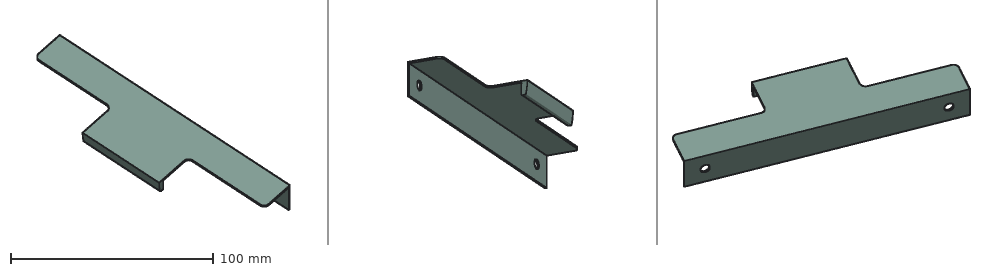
import cadquery as cq

length = 150.0
depth = 41.0
height = 18.0
sheet = 1.0

wing_depth = 19.0
tab_width = 50.0
corner_radius = 3.0

lip_height = 7.6
lip_top_width = 3.3
lip_tip_width = 2.4
lip_bulge = 0.2
lip_tip_radius = 0.8

hole_diameter = 5.0
hole_spacing = 128.0


def make_top_plate():
    """T-shaped plate with rounded wing corners and tab roots."""
    wings = cq.Workplane("XY").box(length, wing_depth, sheet, centered=(True, False, False))
    tab = cq.Workplane("XY").box(tab_width, depth, sheet, centered=(True, False, False))
    plate = wings.translate((0, -wing_depth, -sheet)).union(tab.translate((0, -depth, -sheet)))
    half_length = length / 2
    half_tab = tab_width / 2
    for x in (-half_length, -half_tab, half_tab, half_length):
        corner = cq.selectors.NearestToPointSelector((x, -wing_depth, -sheet / 2))
        plate = plate.edges("|Z").edges(corner).fillet(corner_radius)
    return plate


def make_rear_flange():
    """Vertical flange with two through holes at mid height."""
    flange = cq.Workplane("XY").box(length, sheet, height, centered=(True, False, False))
    flange = flange.translate((0, -sheet, -height))
    holes = (
        cq.Workplane("XZ", origin=(0, 0, -height / 2))
        .pushPoints([(-hole_spacing / 2, 0), (hole_spacing / 2, 0)])
        .circle(hole_diameter / 2)
        .extrude(sheet)
    )
    return flange.cut(holes)


def make_lip():
    """Lip with a flat rear, a convex front that narrows downward, and a rounded tip."""
    front = -depth
    rear = front + lip_top_width
    tip_front = rear - lip_tip_width
    bulge_point = ((front + tip_front) / 2 - lip_bulge, -(sheet + lip_height) / 2)
    lip = (
        cq.Workplane("YZ", origin=(-tab_width / 2, 0, 0))
        .moveTo(rear, 0)
        .lineTo(front, 0)
        .lineTo(front, -sheet)
        .threePointArc(bulge_point, (tip_front, -lip_height))
        .lineTo(rear, -lip_height)
        .close()
        .extrude(tab_width)
    )
    return lip.faces("<Z").edges("|X").fillet(lip_tip_radius)


result = make_top_plate().union(make_rear_flange()).union(make_lip())